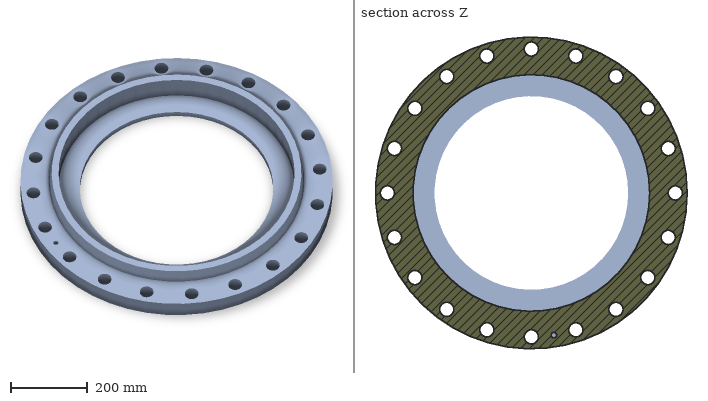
import cadquery as cq
import math

flange_diameter = 812.5
flange_thickness = 47.0
bore_diameter = 504.0

total_height = 81.0
collar_base_diameter = 665.0
collar_top_diameter = 650.0

recess_diameter = 614.0
ledge_thickness = 16.0

bolt_count = 20
bolt_circle_diameter = 749.0
bolt_hole_diameter = 36.0

small_hole_diameter = 13.0
small_hole_depth = flange_thickness / 2


def ring():
    """Flange, collar, recess and bore, turned about Z from one half section."""
    bore_radius = bore_diameter / 2
    flange_radius = flange_diameter / 2
    recess_radius = recess_diameter / 2
    half_section = (
        cq.Workplane("XZ")
        .moveTo(bore_radius, 0)
        .lineTo(flange_radius, 0)
        .lineTo(flange_radius, flange_thickness)
        .lineTo(collar_base_diameter / 2, flange_thickness)
        .lineTo(collar_top_diameter / 2, total_height)
        .lineTo(recess_radius, total_height)
        .lineTo(recess_radius, ledge_thickness)
        .lineTo(bore_radius, ledge_thickness)
        .close()
    )
    return half_section.revolve(360, (0, 0, 0), (0, 1, 0))


def bolt_holes():
    """Through holes evenly spaced on the bolt circle, starting on the X axis."""
    return (
        cq.Workplane("XY")
        .polarArray(bolt_circle_diameter / 2, 0, 360, bolt_count)
        .circle(bolt_hole_diameter / 2)
        .extrude(flange_thickness)
    )


def small_blind_hole():
    """Blind hole half a bolt pitch counter-clockwise from the -Y bolt hole."""
    half_pitch = math.pi / bolt_count
    angle = half_pitch - math.pi / 2
    hole_x = bolt_circle_diameter / 2 * math.cos(angle)
    hole_y = bolt_circle_diameter / 2 * math.sin(angle)
    return (
        cq.Workplane("XY", origin=(0, 0, flange_thickness))
        .center(hole_x, hole_y)
        .circle(small_hole_diameter / 2)
        .extrude(-small_hole_depth)
    )


result = ring().cut(bolt_holes()).cut(small_blind_hole())